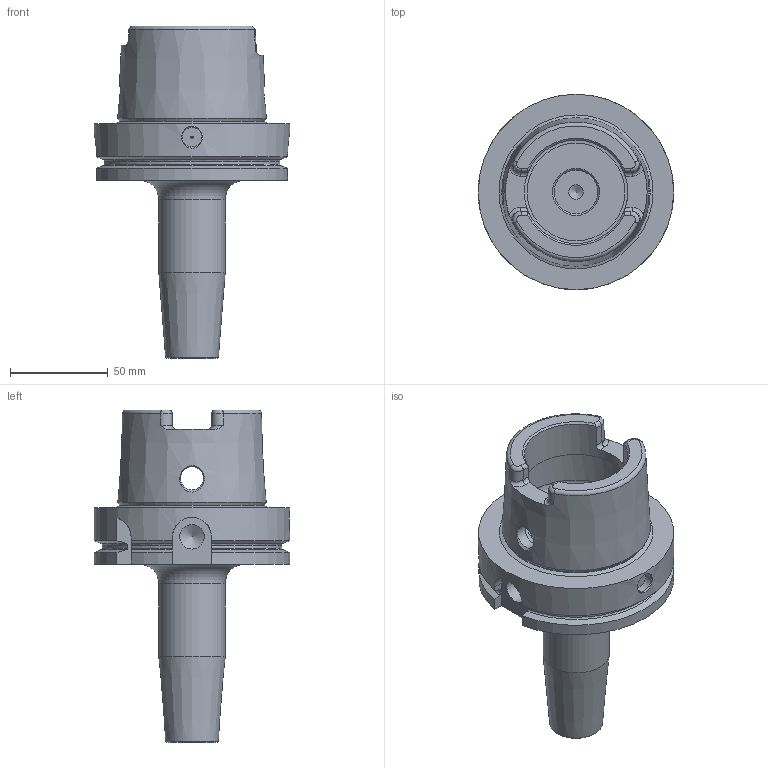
import cadquery as cq
import math

near = 0.1

shank_top = 49.9
flange_bottom = -29.0
nose_top = -76.3
nose_bottom = -120.0

gauge_radius = 37.5
gauge_level = 12.5
taper_slope = 1 / 20
taper_bottom = 2.7
rim_fillet = 2.0
relief_radius = 37.2
relief_top = 1.2
relief_bottom = 0.8
relief_lip_radius = 38.3
relief_face_radius = 39.4

mouth_radius = 26.5
mouth_chamfer = 0.9
mouth_bottom = 30.0
chamber_radius = 31.5
chamber_cone_angle = 30.0
cavity_floor = 3.9
chamber_fillet = 6.5
thread_radius = 11.2
thread_chamfer = 0.8
thread_depth = 20.0
center_hole_radius = 3.75
drill_half_angle = 59.0

slot_width = 20.0
slot_tip_radius = 4.2
slot_floor_fillet = 2.0
slot_floor_left = 40.0
slot_floor_right = 35.0

cross_hole_radius = 6.0
cross_hole_level = 15.0
cross_sink_start = 36.6
cross_sink_size = 2.0

flange_radius = 50.0
groove_radius = 46.0
groove_center = -20.0
groove_half_width = 3.0
groove_flank_rise = 1.5
groove_fillet = 1.0

keyway_width = 20.0
keyway_center_level = -15.0
keyway_floor = 44.0
notch_floor = 32.0
notch_center_y = 41.2
keyway_hole_radius = 6.25
keyway_hole_depth = 12.0

chip_radius = 5.0
chip_level = -7.0
chip_depth = 4.6
chip_chamfer = 0.6
chip_center_radius = 0.6
chip_center_depth = 1.0

neck_radius = 17.0
neck_fillet = 10.0
nose_end_radius = 13.5
nose_chamfer = 0.5


def taper_radius(z):
    """Outer radius of the tapered shank at height z."""
    return gauge_radius + (gauge_level - z) * taper_slope


def body_of_revolution():
    """Solid shank, flange, neck and nose turned about Z."""
    groove_top = groove_center + groove_half_width
    groove_low = groove_center - groove_half_width
    nose_slope = (neck_radius - nose_end_radius) / (nose_top - nose_bottom)
    outline = (
        cq.Workplane("XZ")
        .moveTo(0, nose_bottom)
        .lineTo(nose_end_radius - nose_chamfer, nose_bottom)
        .lineTo(nose_end_radius + nose_slope * nose_chamfer, nose_bottom + nose_chamfer)
        .lineTo(neck_radius, nose_top)
        .lineTo(neck_radius, flange_bottom - neck_fillet)
        .radiusArc((neck_radius + neck_fillet, flange_bottom), neck_fillet)
        .lineTo(flange_radius, flange_bottom)
        .lineTo(flange_radius, groove_low)
        .lineTo(groove_radius, groove_low + groove_flank_rise)
        .lineTo(groove_radius, groove_top - groove_flank_rise)
        .lineTo(flange_radius, groove_top)
        .lineTo(flange_radius, 0)
        .lineTo(relief_face_radius, 0)
        .lineTo(relief_lip_radius, relief_bottom / 2)
        .lineTo(relief_radius, relief_bottom)
        .lineTo(relief_radius, relief_top)
        .lineTo(taper_radius(taper_bottom), taper_bottom)
        .lineTo(taper_radius(shank_top), shank_top)
        .lineTo(0, shank_top)
        .close()
    )
    body = outline.revolve(360, (0, 0), (0, 1))
    reach = groove_radius + near
    span = groove_half_width - groove_flank_rise + near
    groove_floor = cq.selectors.BoxSelector(
        (-reach, -reach, groove_center - span), (reach, reach, groove_center + span), boundingbox=True
    )
    return body.edges(groove_floor).edges("%CIRCLE").fillet(groove_fillet)


def cavity():
    """Stepped hollow, opening at the rim and ending in a drilled hole."""
    cone_drop = (chamber_radius - mouth_radius) * math.tan(math.radians(chamber_cone_angle))
    thread_bottom = cavity_floor - thread_depth
    drill_tip = center_hole_radius / math.tan(math.radians(drill_half_angle))
    return (
        cq.Workplane("XZ")
        .moveTo(0, shank_top)
        .lineTo(mouth_radius + mouth_chamfer, shank_top)
        .lineTo(mouth_radius, shank_top - mouth_chamfer)
        .lineTo(mouth_radius, mouth_bottom)
        .lineTo(chamber_radius, mouth_bottom - cone_drop)
        .lineTo(chamber_radius, cavity_floor + chamber_fillet)
        .radiusArc((chamber_radius - chamber_fillet, cavity_floor), chamber_fillet)
        .lineTo(thread_radius + thread_chamfer, cavity_floor)
        .lineTo(thread_radius, cavity_floor - thread_chamfer)
        .lineTo(thread_radius, thread_bottom)
        .lineTo(center_hole_radius, thread_bottom)
        .lineTo(0, thread_bottom - drill_tip)
        .close()
        .revolve(360, (0, 0), (0, 1))
    )


def paired_edges(body, low, high):
    """Edges centred between two corners of a box, or between those corners mirrored in Y."""
    mirrored_low = (low[0], -high[1], low[2])
    mirrored_high = (high[0], -low[1], high[2])
    edges = body.edges(cq.selectors.BoxSelector(low, high)).vals()
    return edges + body.edges(cq.selectors.BoxSelector(mirrored_low, mirrored_high)).vals()


def cut_drive_slot(body, floor):
    """Rim slot toward +X with the outer corners of its two walls rounded."""
    half_width = slot_width / 2
    slot = cq.Workplane("XY", origin=(flange_radius / 2, 0, floor)).box(
        flange_radius, slot_width, shank_top, centered=(True, True, False)
    )
    body = body.cut(slot)
    corners = paired_edges(
        body,
        (chamber_radius, half_width - near, floor + near),
        (gauge_radius, half_width + near, shank_top - near),
    )
    return cq.Workplane(body.val().fillet(slot_tip_radius, corners))


def fillet_slot_floor(body, floor):
    """Fillet where the walls of the +X slot meet its floor."""
    half_width = slot_width / 2
    foot = paired_edges(
        body,
        (0, half_width - near, floor - near),
        (taper_radius(floor) - slot_tip_radius, half_width + slot_tip_radius, floor + near),
    )
    return cq.Workplane(body.val().fillet(slot_floor_fillet, foot))


def fillet_rim(body):
    """Round the arms' top edges, except along the chamfered bore mouth."""
    top_edges = body.faces(">Z").edges()
    straight_and_curved = top_edges.edges("not %CIRCLE").vals()
    outer_arcs = top_edges.edges("%CIRCLE").edges(cq.selectors.RadiusNthSelector(-1)).vals()
    return cq.Workplane(body.val().fillet(rim_fillet, straight_and_curved + outer_arcs))


def turn_half(body):
    """Half turn about Z, which swaps the +X and -X sides."""
    return body.rotate((0, 0, 0), (0, 0, 1), 180)


def arch_slot(center_y, floor):
    """Cutter for an arched slot on the -X side, open at the flange's lower face."""
    radius = keyway_width / 2
    depth = flange_radius - floor
    height = keyway_center_level - flange_bottom
    plane = cq.Workplane("YZ", origin=(-flange_radius, center_y, keyway_center_level))
    arch = plane.circle(radius).extrude(depth)
    straight = plane.center(0, -height / 2).rect(keyway_width, height).extrude(depth)
    return arch.union(straight)


def keyway_hole():
    """Drilled blind hole in the floor of the -X keyway."""
    inward = cq.Vector(1, 0, 0)
    mouth = cq.Vector(-keyway_floor, 0, keyway_center_level)
    bottom = mouth + inward * keyway_hole_depth
    tip = keyway_hole_radius / math.tan(math.radians(drill_half_angle))
    shaft = cq.Solid.makeCylinder(keyway_hole_radius, keyway_hole_depth, mouth, inward)
    point = cq.Solid.makeCone(keyway_hole_radius, 0, tip, bottom, inward)
    return cq.Workplane(shaft).union(cq.Workplane(point))


def cross_hole(side):
    """Countersunk hole through one shank wall; side is +1 or -1 along X."""
    outward = cq.Vector(side, 0, 0)
    start = cq.Vector(0, 0, cross_hole_level)
    hole = cq.Solid.makeCylinder(cross_hole_radius, flange_radius, start, outward)
    sink = cq.Solid.makeCone(
        cross_hole_radius, cross_hole_radius + cross_sink_size, cross_sink_size,
        start + outward * cross_sink_start, outward,
    )
    return cq.Workplane(hole).union(cq.Workplane(sink))


def chip_pocket():
    """Flat round pocket with a small centre hole on the flange's -Y side."""
    inward = cq.Vector(0, 1, 0)
    start = cq.Vector(0, -flange_radius, chip_level)
    pocket = cq.Solid.makeCylinder(chip_radius, chip_depth, start, inward)
    sink = cq.Solid.makeCone(chip_radius + chip_chamfer, chip_radius, chip_chamfer, start, inward)
    center = cq.Solid.makeCylinder(chip_center_radius, chip_depth + chip_center_depth, start, inward)
    return cq.Workplane(pocket).union(cq.Workplane(sink)).union(cq.Workplane(center))


result = body_of_revolution().cut(cavity())
result = cut_drive_slot(result, slot_floor_right)
result = turn_half(cut_drive_slot(turn_half(result), slot_floor_left))
result = fillet_rim(result)
result = fillet_slot_floor(result, slot_floor_right)
result = turn_half(fillet_slot_floor(turn_half(result), slot_floor_left))
for side in (-1, 1):
    result = result.cut(cross_hole(side))
keyway = arch_slot(0, keyway_floor)
result = result.cut(keyway)
result = result.cut(keyway.mirror("YZ"))
result = result.cut(keyway_hole())
result = result.cut(arch_slot(notch_center_y, notch_floor))
result = result.cut(chip_pocket())